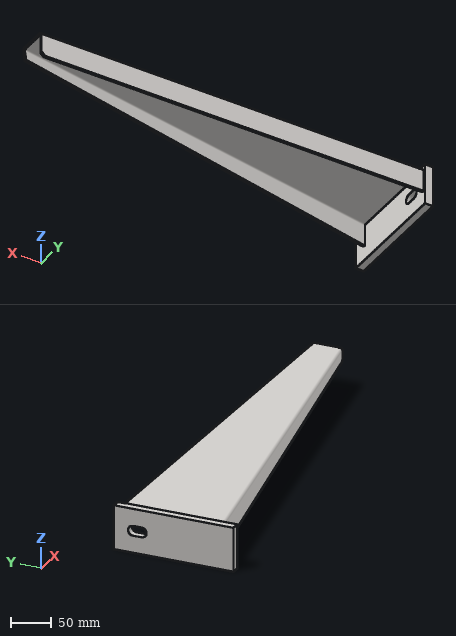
import cadquery as cq
import math

plate_thickness = 12.0
plate_width = 165.0
plate_height = 60.0

slot_length = 25.0
slot_height = 13.0
slot_edge_distance = 32.5
slot_center_y = plate_width / 2 - slot_edge_distance

overall_length = 572.19
sheet_thickness = 3.0
bend_radius = 5.0
inner_bend_radius = bend_radius - sheet_thickness
top_margin = 4.0
back_margin = 3.5
arm_top_z = plate_height / 2 - top_margin
arm_depth = 35.0
tip_depth = 17.5
tip_lean = math.radians(10)
tip_chamfer = 5.0
back_y = plate_width / 2 - back_margin
root_width = 142.0
slant_angle = math.radians(10)

lean_slope = math.tan(tip_lean) * math.cos(slant_angle)
tip_overhang = bend_radius * (math.hypot(math.sin(slant_angle), lean_slope) - lean_slope)
web_end_x = overall_length - tip_overhang
web_length = web_end_x - plate_thickness

back_fold_y = back_y - bend_radius
slanted_fold_offset = bend_radius / math.cos(slant_angle)
root_fold_y = back_y - root_width + slanted_fold_offset
tip_fold_y = root_fold_y + web_length * math.tan(slant_angle)


def make_plate():
    """Flat rectangular plate with one through slot."""
    slot = (
        cq.Workplane("YZ")
        .center(slot_center_y, 0)
        .slot2D(slot_length, slot_height)
        .extrude(plate_thickness)
    )
    return (
        cq.Workplane("YZ")
        .rect(plate_width, plate_height)
        .extrude(plate_thickness)
        .cut(slot)
    )


def make_folded_edge(length, start_depth, end_depth, corner_chamfer=0.0, end_lean=0.0):
    """Bend and flange along +X, folding from the X axis outward to -Y and down.

    The top of the sheet is at Z = 0. The far end can have a chamfered lower
    corner, or can be raked back by an angle.
    """
    middle = math.sin(math.pi / 4)
    bend = (
        cq.Workplane("YZ")
        .threePointArc(
            (-bend_radius * middle, bend_radius * middle - bend_radius),
            (-bend_radius, -bend_radius),
        )
        .lineTo(-inner_bend_radius, -bend_radius)
        .threePointArc(
            (-inner_bend_radius * middle, inner_bend_radius * middle - bend_radius),
            (0, -sheet_thickness),
        )
        .close()
        .extrude(length)
    )
    outline = [(0, -bend_radius), (length, -bend_radius)]
    if corner_chamfer:
        outline.append((length, corner_chamfer - end_depth))
    outline += [(length - corner_chamfer, -end_depth), (0, -start_depth)]
    flange = (
        cq.Workplane("XZ", origin=(0, -inner_bend_radius, 0))
        .polyline(outline)
        .close()
        .extrude(sheet_thickness)
    )
    edge = bend.union(flange)
    if not end_lean:
        return edge
    rake_run = start_depth * math.tan(end_lean)
    raked_end = (
        cq.Workplane("XZ")
        .polyline([
            (length, 0),
            (length + rake_run, 0),
            (length + rake_run, -start_depth),
            (length - rake_run, -start_depth),
        ])
        .close()
        .extrude(2 * bend_radius)
    )
    return edge.cut(raked_end)


def make_arm():
    """Tapered channel, open below: web, straight flange and slanted flange."""
    web = (
        cq.Workplane("XY", origin=(0, 0, arm_top_z))
        .polyline([
            (plate_thickness, back_fold_y),
            (plate_thickness, root_fold_y),
            (web_end_x, tip_fold_y),
            (web_end_x, back_fold_y),
        ])
        .close()
        .extrude(-sheet_thickness)
    )
    straight_edge = (
        make_folded_edge(web_length, arm_depth, arm_depth, tip_chamfer)
        .mirror("XZ")
        .translate((plate_thickness, back_fold_y, arm_top_z))
    )
    slanted_edge = (
        make_folded_edge(web_length / math.cos(slant_angle), arm_depth, tip_depth, end_lean=tip_lean)
        .rotate((0, 0, 0), (0, 0, 1), math.degrees(slant_angle))
        .translate((plate_thickness, root_fold_y, arm_top_z))
    )
    return web.union(straight_edge).union(slanted_edge)


plate = make_plate()
arm = make_arm()

result = cq.Compound.makeCompound([plate.val(), arm.val()])